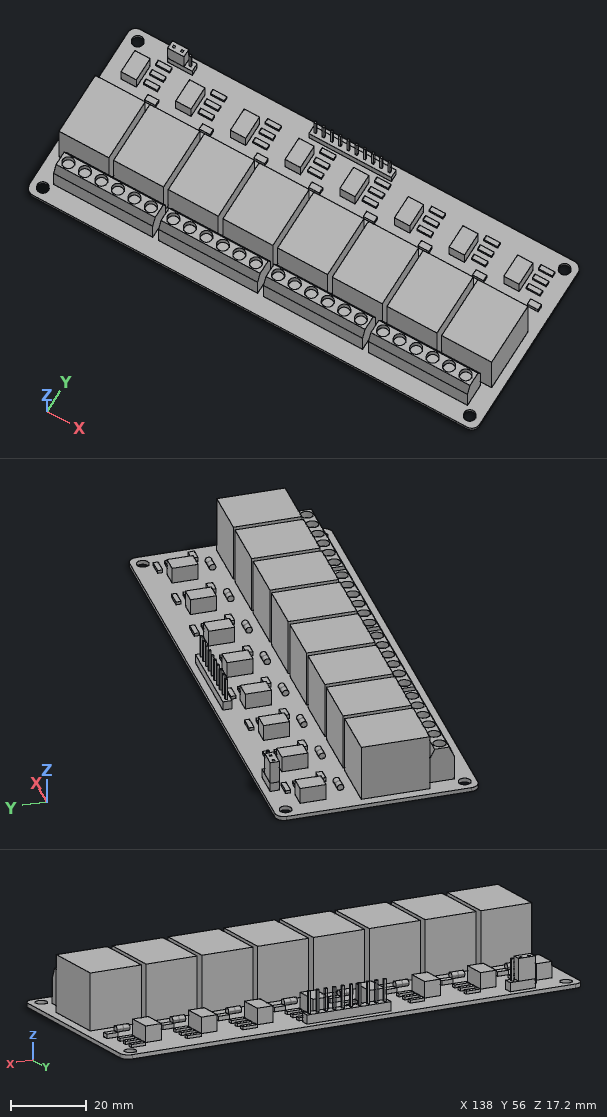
import cadquery as cq

BOARD_LENGTH = 138
BOARD_WIDTH = 56.0
BOARD_THICKNESS = 1.2
CORNER_RADIUS = 2.5
MOUNT_HOLE_DIAMETER = 3.3
MOUNT_HOLE_INSET_X = 3.6
MOUNT_HOLE_INSET_Y = 3.3
TOTAL_HEIGHT = 17.2

CHANNEL_COUNT = 8
CHANNEL_SPAN = 117.3
CHANNEL_PITCH = CHANNEL_SPAN / (CHANNEL_COUNT - 1)

RELAY_LENGTH = 15.3
RELAY_WIDTH = 18.9
RELAY_Y = -5.4

OPTO_OFFSET_X = -2.6
OPTO_Y = 16.5
OPTO_LENGTH = 4.7
OPTO_WIDTH = 7.2
OPTO_HEIGHT = 4.5

RESISTOR_COUNT = 3
RESISTOR_PITCH = 3.2
RESISTOR_OFFSET_X = 3.0
RESISTOR_MIDDLE_Y = 18.5
RESISTOR_LENGTH = 4.3
RESISTOR_WIDTH = 1.4
RESISTOR_HEIGHT = 0.8

LAMP_OFFSET_X = 5.4
LAMP_Y = 11.3
LAMP_LENGTH = 3.3
LAMP_WIDTH = 1.8
LAMP_HEIGHT = 1.2

DIODE_OFFSET_X = 0.3
DIODE_Y = 8.0
DIODE_LENGTH = 3.9
DIODE_DIAMETER = 1.8
DIODE_SINK = 0.07

TERMINAL_COUNT = 4
TERMINAL_PITCH = 32.2
TERMINAL_LENGTH = 30.4
TERMINAL_WIDTH = 6.8
TERMINAL_HEIGHT = 10.1
TERMINAL_FRONT_INSET = 5.5
TERMINAL_Y = (TERMINAL_WIDTH - BOARD_WIDTH) / 2 + TERMINAL_FRONT_INSET
TERMINAL_SLOPE_RUN = 1.31
TERMINAL_FRONT_DROP = 3.2
TERMINAL_BACK_DROP = 2.6
SCREW_COUNT = 6
SCREW_PITCH = TERMINAL_LENGTH / SCREW_COUNT
SCREW_HOLE_DIAMETER = 3.5
SCREW_HOLE_DEPTH = 2.0

SIGNAL_PIN_COUNT = 10
SIGNAL_HEADER_LENGTH = 25.3
PIN_PITCH = SIGNAL_HEADER_LENGTH / SIGNAL_PIN_COUNT
PIN_SIDE = 0.63
PIN_TOP = 10.0
HEADER_WIDTH = PIN_PITCH
HEADER_HEIGHT = PIN_PITCH
HEADER_Y = 24.7
SIGNAL_HEADER_X = 0.4
SELECT_PIN_COUNT = 3
SELECT_HEADER_X = -51.8

JUMPER_PIN_COUNT = 2
JUMPER_TOP = 10.1
JUMPER_BOTTOM = BOARD_THICKNESS + HEADER_HEIGHT


def spread(count, pitch, middle=0):
    """Evenly spaced positions, centred on middle."""
    return [middle + (i - (count - 1) / 2) * pitch for i in range(count)]


def block(x, y, bottom, length, width, height):
    """Upright box centred on (x, y) and standing on the level bottom."""
    return cq.Workplane(cq.Plane((x, y, bottom))).box(length, width, height, centered=(True, True, False))


def on_board(x, y, length, width, height):
    return block(x, y, BOARD_THICKNESS, length, width, height)


def make_bare_board():
    hole_points = [
        (side_x * (BOARD_LENGTH / 2 - MOUNT_HOLE_INSET_X), side_y * (BOARD_WIDTH / 2 - MOUNT_HOLE_INSET_Y))
        for side_x in (-1, 1)
        for side_y in (-1, 1)
    ]
    board = block(0, 0, 0, BOARD_LENGTH, BOARD_WIDTH, BOARD_THICKNESS).edges("|Z").fillet(CORNER_RADIUS)
    return board.faces(">Z").workplane(origin=(0, 0, 0)).pushPoints(hole_points).hole(MOUNT_HOLE_DIAMETER)


def make_diode(x):
    """Round diode lying along X, set slightly into the board."""
    axis_height = BOARD_THICKNESS + DIODE_DIAMETER / 2 - DIODE_SINK
    plane = cq.Plane((x, DIODE_Y, axis_height), xDir=(0, 1, 0), normal=(1, 0, 0))
    return cq.Workplane(plane).circle(DIODE_DIAMETER / 2).extrude(DIODE_LENGTH / 2, both=True)


def make_channel(x):
    """All the components of the channel whose relay is centred at x."""
    relay_height = TOTAL_HEIGHT - BOARD_THICKNESS
    parts = [
        on_board(x, RELAY_Y, RELAY_LENGTH, RELAY_WIDTH, relay_height),
        on_board(x + OPTO_OFFSET_X, OPTO_Y, OPTO_LENGTH, OPTO_WIDTH, OPTO_HEIGHT),
        on_board(x + LAMP_OFFSET_X, LAMP_Y, LAMP_LENGTH, LAMP_WIDTH, LAMP_HEIGHT),
        make_diode(x + DIODE_OFFSET_X),
    ]
    for y in spread(RESISTOR_COUNT, RESISTOR_PITCH, RESISTOR_MIDDLE_Y):
        parts.append(on_board(x + RESISTOR_OFFSET_X, y, RESISTOR_LENGTH, RESISTOR_WIDTH, RESISTOR_HEIGHT))
    return parts


def make_terminal(x):
    """Terminal block, sloped lower in front (-Y) than at the back, with a row of blind screw holes."""
    half_width = TERMINAL_WIDTH / 2
    half_top = half_width - TERMINAL_SLOPE_RUN
    plane = cq.Plane((x, TERMINAL_Y, BOARD_THICKNESS), xDir=(0, 1, 0), normal=(1, 0, 0))
    profile = [
        (-half_width, 0),
        (half_width, 0),
        (half_width, TERMINAL_HEIGHT - TERMINAL_BACK_DROP),
        (half_top, TERMINAL_HEIGHT),
        (-half_top, TERMINAL_HEIGHT),
        (-half_width, TERMINAL_HEIGHT - TERMINAL_FRONT_DROP),
    ]
    body = cq.Workplane(plane).polyline(profile).close().extrude(TERMINAL_LENGTH / 2, both=True)
    screw_points = [(screw_x, TERMINAL_Y) for screw_x in spread(SCREW_COUNT, SCREW_PITCH, x)]
    top = body.faces(">Z").workplane(origin=(0, 0, 0))
    return top.pushPoints(screw_points).hole(SCREW_HOLE_DIAMETER, SCREW_HOLE_DEPTH)


def make_pins(pin_positions):
    pin_height = PIN_TOP - BOARD_THICKNESS
    return [on_board(x, HEADER_Y, PIN_SIDE, PIN_SIDE, pin_height) for x in pin_positions]


def make_header(x, pin_count):
    base = on_board(x, HEADER_Y, pin_count * PIN_PITCH, HEADER_WIDTH, HEADER_HEIGHT)
    return [base] + make_pins(spread(pin_count, PIN_PITCH, x))


def make_relay_board():
    parts = make_header(SIGNAL_HEADER_X, SIGNAL_PIN_COUNT) + make_header(SELECT_HEADER_X, SELECT_PIN_COUNT)
    for x in spread(CHANNEL_COUNT, CHANNEL_PITCH):
        parts += make_channel(x)
    for x in spread(TERMINAL_COUNT, TERMINAL_PITCH):
        parts.append(make_terminal(x))
    solids = [part.val() for part in parts]
    return cq.Workplane(make_bare_board().val().fuse(*solids)).solids()


def make_jumper_cap():
    """Cap with blind sockets that fit the pins it covers."""
    covered_pins = spread(SELECT_PIN_COUNT, PIN_PITCH, SELECT_HEADER_X)[:JUMPER_PIN_COUNT]
    middle = sum(covered_pins) / JUMPER_PIN_COUNT
    length = JUMPER_PIN_COUNT * PIN_PITCH
    cap = block(middle, HEADER_Y, JUMPER_BOTTOM, length, HEADER_WIDTH, JUMPER_TOP - JUMPER_BOTTOM)
    for pin in make_pins(covered_pins):
        cap = cap.cut(pin)
    return cap.solids()


relay_board = make_relay_board()
jumper_cap = make_jumper_cap()

result = cq.Compound.makeCompound([relay_board.val(), jumper_cap.val()])